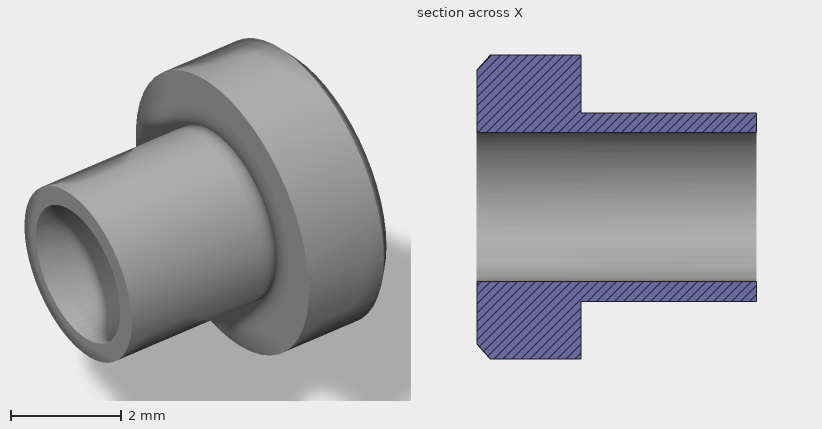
import cadquery as cq

flange_diameter = 5.54
tube_diameter = 3.435
bore_diameter = 2.7
total_length = 5.08
flange_length = 1.9
chamfer_length = 0.25
chamfer_depth = 0.275

tube_length = total_length - flange_length
flange_radius = flange_diameter / 2
tube_radius = tube_diameter / 2
bore_radius = bore_diameter / 2

half_section = (
    cq.Workplane("XY")
    .moveTo(bore_radius, 0)
    .lineTo(tube_radius, 0)
    .lineTo(tube_radius, tube_length)
    .lineTo(flange_radius, tube_length)
    .lineTo(flange_radius, total_length - chamfer_length)
    .lineTo(flange_radius - chamfer_depth, total_length)
    .lineTo(bore_radius, total_length)
    .close()
)

result = half_section.revolve(360, (0, 0, 0), (0, 1, 0))